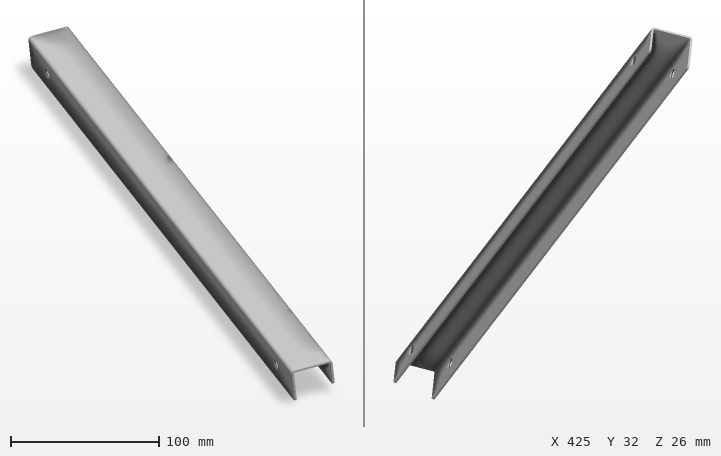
import cadquery as cq
import math

length = 425.0
width = 32.0
height = 26.0
thickness = 1.5
bend_radius = 2.35
lean = 5.5
back_leg_drop = 20.5
corner_radius = 2.5
hole_diameter = 7.2
hole_end_distance = 28.0
hole_drop = 13.0

lean_sin = math.sin(math.radians(lean))
lean_cos = math.cos(math.radians(lean))
lean_tan = math.tan(math.radians(lean))
top = height / 2
half_length = length / 2
half_width = width / 2

front_corner_y = -half_width + bend_radius * (1 - math.tan(math.radians(45 + lean / 2)))
tip_rise = thickness * lean_sin
back_tip_drop = back_leg_drop - tip_rise
back_corner_y = half_width - back_tip_drop * lean_tan
leg_wall_y = thickness / lean_cos


def leg_point(corner_y, drop):
    """Point on a leaning line that starts at corner_y on the top plane."""
    return corner_y + drop * lean_tan, top - drop


def make_channel():
    """Uneven U channel, both legs leaning the same way."""
    front_inner_y = front_corner_y + leg_wall_y
    back_inner_y = back_corner_y - leg_wall_y
    outline = [
        leg_point(front_corner_y, 0),
        leg_point(front_corner_y, height),
        leg_point(front_inner_y, height - tip_rise),
        leg_point(front_inner_y, thickness),
        leg_point(back_inner_y, thickness),
        leg_point(back_inner_y, back_leg_drop),
        leg_point(back_corner_y, back_tip_drop),
        leg_point(back_corner_y, 0),
    ]
    blank = cq.Workplane("YZ", origin=(-half_length, 0, 0)).polyline(outline).close().extrude(length)

    def bend_edges(points):
        return [blank.edges(cq.NearestToPointSelector((0, y, z))).val() for y, z in points]

    outer_bends = bend_edges([outline[0], outline[7]])
    inner_bends = bend_edges([outline[3], outline[4]])
    solid = blank.val().fillet(bend_radius, outer_bends)
    return cq.Workplane(solid.fillet(bend_radius - thickness, inner_bends))


def round_leg_corners(channel):
    """Round both lower corners of each leg, across the leg thickness."""
    corners = []
    for outer_y, inner_y, drop_outer, drop_inner in (
        (front_corner_y, front_corner_y + leg_wall_y, height, height - tip_rise),
        (back_corner_y, back_corner_y - leg_wall_y, back_tip_drop, back_leg_drop),
    ):
        tip_y, tip_z = leg_point((outer_y + inner_y) / 2, (drop_outer + drop_inner) / 2)
        for x in (-half_length, half_length):
            corners.append(channel.edges(cq.NearestToPointSelector((x, tip_y, tip_z))).val())
    return cq.Workplane(channel.val().fillet(corner_radius, corners))


def make_holes():
    """Pins square to the legs, passing through both of them."""
    hole_y, hole_z = leg_point(front_corner_y, hole_drop)
    axis = cq.Vector(0, lean_cos, lean_sin)
    pins = cq.Workplane()
    for x in (-half_length + hole_end_distance, half_length - hole_end_distance):
        start = cq.Vector(x, hole_y, hole_z) - axis * width
        pins = pins.add(cq.Solid.makeCylinder(hole_diameter / 2, 3 * width, start, axis))
    return pins.combine()


result = round_leg_corners(make_channel()).cut(make_holes())